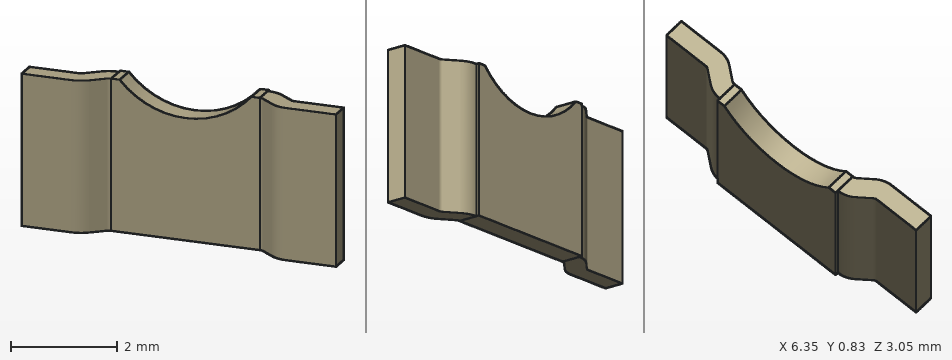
import cadquery as cq
import math

LENGTH = 6.35
HEIGHT = 3.05

PLATE_WIDTH = 3.005
PLATE_THICKNESS = 0.48
NOTCH_WIDTH = 2.655
NOTCH_DEPTH = 0.6

WING_THICKNESS = 0.42
WING_OFFSET = 0.35
FLAT_LENGTH = 1.005
BEND_ANGLE = math.radians(38)
INNER_RADIUS = 0.1
OUTER_RADIUS = INNER_RADIUS + WING_THICKNESS

PLATE_EDGE = PLATE_WIDTH / 2


def make_plate():
    """Centre plate with an arc notch in its top edge."""
    half_notch = NOTCH_WIDTH / 2
    return (
        cq.Workplane("XZ", origin=(0, WING_OFFSET, 0))
        .moveTo(-PLATE_EDGE, 0)
        .lineTo(PLATE_EDGE, 0)
        .lineTo(PLATE_EDGE, HEIGHT)
        .lineTo(half_notch, HEIGHT)
        .threePointArc((0, HEIGHT - NOTCH_DEPTH), (-half_notch, HEIGHT))
        .lineTo(-PLATE_EDGE, HEIGHT)
        .close()
        .extrude(-PLATE_THICKNESS)
    )


def on_circle(center, radius, angle):
    """Point on a circle, with the angle measured from -Y towards +X."""
    return (center[0] + radius * math.sin(angle), center[1] - radius * math.cos(angle))


def make_left_wing():
    """Strip with an S-bend that joins the left edge of the plate."""
    radius_sum = INNER_RADIUS + OUTER_RADIUS
    bend_rise = radius_sum * (1 - math.cos(BEND_ANGLE))
    slope_length = (WING_OFFSET - bend_rise) / math.sin(BEND_ANGLE)
    bend_run = radius_sum * math.sin(BEND_ANGLE) + slope_length * math.cos(BEND_ANGLE)

    outer_end = -LENGTH / 2
    first_bend_start = outer_end + FLAT_LENGTH
    second_bend_end = first_bend_start + bend_run
    back = WING_OFFSET + WING_THICKNESS
    first_center = (first_bend_start, OUTER_RADIUS)
    second_center = (second_bend_end, WING_OFFSET - INNER_RADIUS)

    half_angle = BEND_ANGLE / 2
    second_start = math.pi + BEND_ANGLE
    second_middle = math.pi + half_angle
    return (
        cq.Workplane("XY")
        .moveTo(outer_end, 0)
        .lineTo(first_bend_start, 0)
        .threePointArc(
            on_circle(first_center, OUTER_RADIUS, half_angle),
            on_circle(first_center, OUTER_RADIUS, BEND_ANGLE),
        )
        .lineTo(*on_circle(second_center, INNER_RADIUS, second_start))
        .threePointArc(
            on_circle(second_center, INNER_RADIUS, second_middle),
            (second_bend_end, WING_OFFSET),
        )
        .lineTo(-PLATE_EDGE, WING_OFFSET)
        .lineTo(-PLATE_EDGE, back)
        .lineTo(second_bend_end, back)
        .threePointArc(
            on_circle(second_center, OUTER_RADIUS, second_middle),
            on_circle(second_center, OUTER_RADIUS, second_start),
        )
        .lineTo(*on_circle(first_center, INNER_RADIUS, BEND_ANGLE))
        .threePointArc(
            on_circle(first_center, INNER_RADIUS, half_angle),
            (first_bend_start, WING_THICKNESS),
        )
        .lineTo(outer_end, WING_THICKNESS)
        .close()
        .extrude(HEIGHT)
    )


plate = make_plate()

wings = []
for mirrored in (False, True):
    wing = make_left_wing()
    if mirrored:
        wing = wing.mirror("YZ")
    wings.append(wing.val())

result = cq.Compound.makeCompound([plate.val(), *wings])